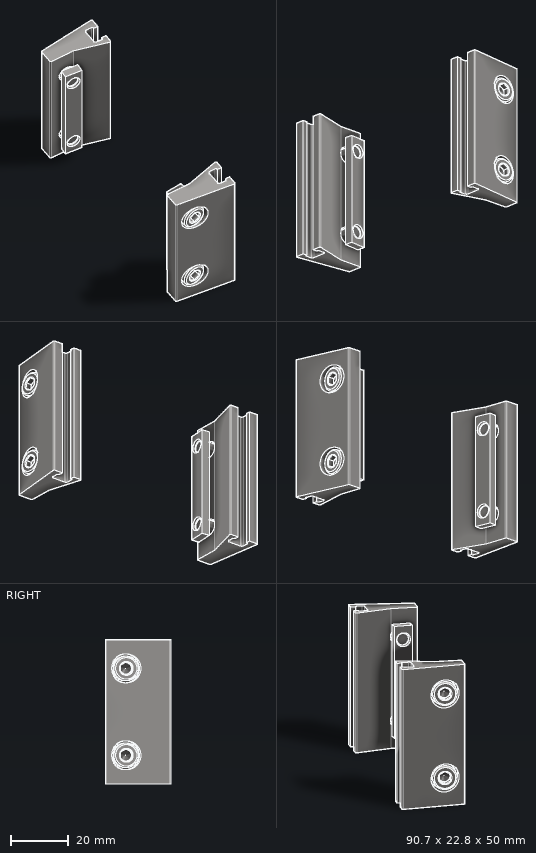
import cadquery as cq
import math


overall_width = 90.7
body_depth = 22.8
body_height = 50.0
outer_x = -overall_width / 2
wide_end_width = 12.15
outer_taper = 7.0
inner_face_offset = 8.6
inner_taper = 15.5
edge_radius = 0.45

slot_center_offset = 6.3
slot_mouth_width = 5.1
slot_cavity_width = 6.5
slot_lip = 1.7
slot_depth = 5.0
slot_floor_radius = 0.7
slot_lip_radius = 0.45

screw_tilt = 5.0
screw_spacing = 30.0
head_diameter = 8.5
head_height = 5.0
head_chamfer = 0.5
head_face_offset = 1.8
head_face_y = 7.25
shank_diameter = 5.0
tip_diameter = 4.2
socket_flats = 4.0
socket_depth = 2.5
socket_entry_diameter = 4.8
entry_half_angle = 60.0
cone_half_angle = 60.0

counterbore_diameter = 10.0
clearance_diameter = 6.0
cut_margin = 4.5

bar_width = 6.4
bar_thickness = 3.0
bar_length = 40.0
bar_distance = 9.0
rim_diameter = 5.0
rim_half_angle = 30.0
tip_recess = 1.0

bar_far_distance = bar_distance + bar_thickness
rim_depth = (rim_diameter - tip_diameter) / 2 / math.tan(math.radians(rim_half_angle))
screw_length = bar_far_distance - tip_recess
entry_depth = (socket_entry_diameter - socket_flats) / 2 / math.tan(math.radians(entry_half_angle))
cone_tip_diameter = 0.045
cone_depth = (socket_flats - cone_tip_diameter) / 2 / math.tan(math.radians(cone_half_angle))
screw_heights = [-screw_spacing / 2, screw_spacing / 2]


def screw_plane(distance, z=0.0):
    """Plane square to a screw axis, at a distance inward from the head face; local X is along Z."""
    lean = math.radians(screw_tilt)
    axis = cq.Vector(math.cos(lean), -math.sin(lean), 0)
    origin = cq.Vector(outer_x + head_face_offset, head_face_y, z) + axis * distance
    return cq.Plane(origin=origin, xDir=(0, 0, 1), normal=axis)


def cylinder(start, end, diameter, z=0.0):
    """Cylinder on a screw axis between two distances from the head face."""
    return cq.Workplane(screw_plane(start, z)).circle(diameter / 2).extrude(end - start)


def make_slot():
    """T-slot cutter, open at the wide end and running the full height."""
    center_x = outer_x + slot_center_offset
    cavity_depth = slot_depth - slot_lip
    base = cq.Workplane("XY", origin=(center_x, body_depth, -body_height / 2))
    cavity = (
        base.center(0, -slot_lip - cavity_depth / 2)
        .rect(slot_cavity_width, cavity_depth)
        .extrude(body_height)
    )
    cavity = cavity.faces("<Y").edges("|Z").fillet(slot_floor_radius)
    cavity = cavity.faces(">Y").edges("|Z").fillet(slot_lip_radius)
    mouth_depth = slot_depth - slot_floor_radius
    mouth = base.center(0, -mouth_depth / 2).rect(slot_mouth_width, mouth_depth).extrude(body_height)
    return cavity.union(mouth)


def rounding_setback(taper):
    """Width lost by rounding a corner between the flat wide end and a face of the given taper."""
    lean = math.radians(taper)
    return edge_radius * (1 / math.cos(lean) + math.tan(lean) - 1)


def make_body():
    """Tapered clamp body with its T-slot and two counterbored screw holes."""
    outer_slope = math.tan(math.radians(outer_taper))
    inner_slope = math.tan(math.radians(inner_taper))
    sharp_outer_x = outer_x - rounding_setback(outer_taper)
    sharp_inner_x = outer_x + wide_end_width + rounding_setback(inner_taper)
    inner_x = outer_x + inner_face_offset
    taper_start_y = body_depth - (sharp_inner_x - inner_x) / inner_slope
    body = (
        cq.Workplane("XY", origin=(0, 0, -body_height / 2))
        .moveTo(sharp_outer_x, body_depth)
        .lineTo(sharp_outer_x + body_depth * outer_slope, 0)
        .lineTo(inner_x, 0)
        .lineTo(inner_x, taper_start_y)
        .lineTo(sharp_inner_x, body_depth)
        .close()
        .extrude(body_height)
    )
    body = body.faces("<Y or >Y").edges("|Z").fillet(edge_radius)
    body = body.cut(make_slot())
    for z in screw_heights:
        body = body.cut(cylinder(-cut_margin, head_height, counterbore_diameter, z))
        body = body.cut(cylinder(head_height, bar_distance, clearance_diameter, z))
    return body


def make_screw(z):
    """Socket head screw with a hexagon socket and a thinner tip that enters the bar."""
    head = cylinder(0, head_height, head_diameter, z).faces("<X").edges().chamfer(head_chamfer)
    shank = cylinder(head_height, bar_distance, shank_diameter, z)
    tip = cylinder(bar_distance, screw_length, tip_diameter, z)
    socket_corners = socket_flats / math.cos(math.pi / 6)
    socket = cq.Workplane(screw_plane(0, z)).polygon(6, socket_corners).extrude(socket_depth)
    cone = cq.Workplane(screw_plane(socket_depth, z)).circle(socket_flats / 2)
    cone = cone.extrude(cone_depth, taper=cone_half_angle)
    entry = cq.Workplane(screw_plane(0, z)).circle(socket_entry_diameter / 2)
    entry = entry.extrude(entry_depth, taper=entry_half_angle)
    return head.union(shank).union(tip).cut(socket).cut(cone).cut(entry)


def make_bar():
    """Clamping bar, square to the screws, with a hole for each screw."""
    bar = cq.Workplane(screw_plane(bar_distance)).rect(bar_length, bar_width).extrude(bar_thickness)
    for z in screw_heights:
        bar = bar.cut(cylinder(bar_distance, bar_far_distance, tip_diameter, z))
        rim = cq.Workplane(screw_plane(bar_far_distance, z)).circle(rim_diameter / 2)
        bar = bar.cut(rim.extrude(-rim_depth, taper=rim_half_angle))
    return bar


body = make_body()
bar = make_bar()
screws = [make_screw(z) for z in screw_heights]
clamp = [body, bar, *screws]
mirrored_clamp = [part.mirror("YZ") for part in clamp]
result = cq.Compound.makeCompound([part.val() for part in clamp + mirrored_clamp])